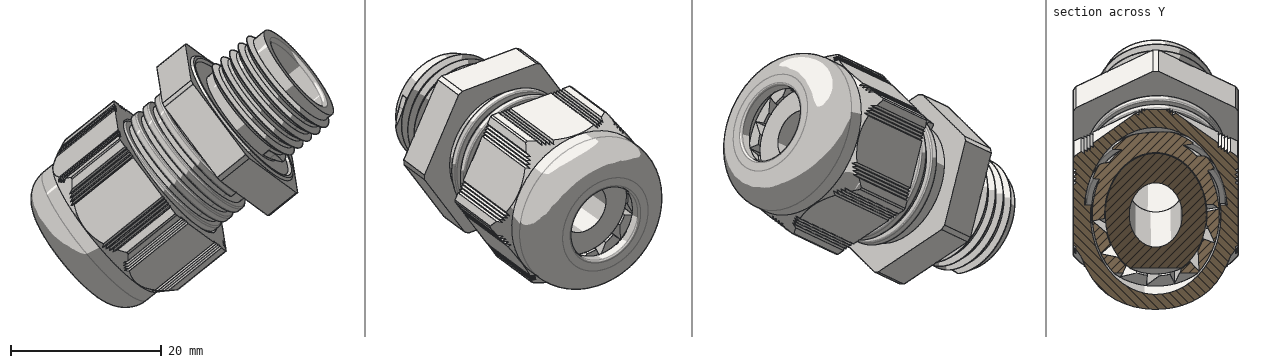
import cadquery as cq
import math


tilt = 34.72

across_flats = 22.0
flange_corner_radius = 12.48
nut_corner_radius = 12.6

inlet_diameter = 14.3
inlet_bore = 10.8
inlet_bore_fillet = 0.5
flange_start = 10.0
flange_thickness = 5.0
body_diameter = 16.95
body_end = 34.95
seal_seat = 24.8
seal_pocket_diameter = 13.6

bead_height = 0.35
bead_base_outer = 21.0
bead_top_outer = 20.4
bead_top_inner = 19.7
bead_base_inner = 19.0

inlet_thread_diameter = 15.9
inlet_thread_start = 1.05
inlet_thread_turns = 5.5
inlet_thread_length = 8.25
inlet_thread_pitch = inlet_thread_length / inlet_thread_turns
inlet_thread_start_angle = 180
inlet_thread_flank_angle = 30
inlet_thread_crest = 0.1
lead_in_height = 0.1
lead_in_flat_angle = 13
lead_in_angle = 33

nut_thread_diameter = 18.68
nut_thread_pitch = 2.05
nut_thread_start = 16.05
nut_thread_turns = 6
nut_thread_flank_angle = 5
nut_thread_crest = 1.07
nut_thread_rounding = 0.2

thread_embed = 0.12

finger_count = 14
finger_slot_width = 1.53
finger_slot_start = 29.75
finger_slot_angle = -93

nut_start = 22.5
nut_end = 39.7
dome_diameter = 21.9
dome_fillet = 4.15
dome_cylinder_start = 33.68
hex_bevel_start = 31.0
nut_bore = 19.1
nut_bore_end = 29.75
nut_front_bore = 17.3
nut_opening = 10.7
nut_opening_fillet = 0.3
nut_lip_thickness = 1.55

grip_flat_width = 6.55
groove_count = 4
groove_pitch = 0.45
groove_depth = groove_pitch / 2 * math.sqrt(3)

seal_diameter = 13.5
seal_bore = 7.0
seal_end = 34.6

side_count = 6


def cylinder(diameter, start, end):
    return cq.Workplane("XY").workplane(offset=start).circle(diameter / 2).extrude(end - start)


def hexagonal_prism(corner_radius, start, end):
    """Hexagon with flats at +X and -X whose corners are cut flat at corner_radius."""
    full_diameter = across_flats / math.cos(math.pi / side_count)
    flats = cq.Workplane("XY").workplane(offset=start)
    flats = flats.polygon(side_count, full_diameter).extrude(end - start).rotate((0, 0, 0), (0, 0, 1), 30)
    corner_diameter = 2 * corner_radius / math.cos(math.pi / side_count)
    corners = cq.Workplane("XY").workplane(offset=start)
    corners = corners.polygon(side_count, corner_diameter).extrude(end - start)
    return flats.intersect(corners)


def ridge_profile(core_diameter, outer_diameter, crest, flank_angle):
    """Half-section of a thread ridge: seat radius, half width at the seat, crest radius, half crest."""
    outer_radius = outer_diameter / 2
    seat_radius = core_diameter / 2 - thread_embed
    flank_spread = (outer_radius - seat_radius) * math.tan(math.radians(flank_angle))
    return seat_radius, crest / 2 + flank_spread, outer_radius, crest / 2


def sharp_section(core_diameter, outer_diameter, crest, flank_angle):
    seat_radius, seat_half, outer_radius, crest_half = ridge_profile(
        core_diameter, outer_diameter, crest, flank_angle)
    return (
        cq.Sketch()
        .polygon([(seat_radius, -seat_half), (outer_radius, -crest_half), (outer_radius, crest_half),
                  (seat_radius, seat_half), (seat_radius, -seat_half)])
    )


def rounded_section(core_diameter, outer_diameter, crest, flank_angle, rounding):
    section = sharp_section(core_diameter, outer_diameter, crest, flank_angle)
    return section.vertices(">X").fillet(rounding)


def thread_ridge(section, radius, pitch, turns, start, start_angle):
    """Right-handed ridge that winds around the axis, seated slightly in its core."""
    path = cq.Workplane(cq.Wire.makeHelix(pitch, pitch * turns, radius))
    ridge = cq.Workplane("XZ").placeSketch(section).sweep(path, isFrenet=True)
    return ridge.rotate((0, 0, 0), (0, 0, 1), start_angle).translate((0, 0, start))


def polar_point(radius, degrees):
    angle = math.radians(degrees)
    return radius * math.cos(angle), radius * math.sin(angle)


def lead_in_cutter(direction):
    """Block that planes the ridge down to its core at the end lying on +X; the ridge runs to +Y or -Y."""
    outer_radius = inlet_thread_diameter / 2
    low_radius = inlet_diameter / 2 + lead_in_height
    clear_radius = 1.3 * outer_radius
    return (
        cq.Workplane("XY")
        .polyline([polar_point(low_radius, -direction),
                   polar_point(low_radius, direction * lead_in_flat_angle),
                   polar_point(outer_radius, direction * lead_in_angle),
                   polar_point(clear_radius, direction * lead_in_angle),
                   polar_point(clear_radius, -direction)])
        .close()
        .extrude(inlet_thread_pitch / 2, both=True)
    )


def inlet_thread():
    section = sharp_section(inlet_diameter, inlet_thread_diameter, inlet_thread_crest,
                            inlet_thread_flank_angle)
    ridge = thread_ridge(section, inlet_diameter / 2, inlet_thread_pitch, inlet_thread_turns,
                         inlet_thread_start, inlet_thread_start_angle)
    end_angle = inlet_thread_start_angle + 360 * inlet_thread_turns
    end = inlet_thread_start + inlet_thread_length
    for direction, angle, station in ((1, inlet_thread_start_angle, inlet_thread_start), (-1, end_angle, end)):
        cutter = lead_in_cutter(direction).rotate((0, 0, 0), (0, 0, 1), angle).translate((0, 0, station))
        ridge = ridge.cut(cutter)
    return ridge


def nut_thread():
    section = rounded_section(body_diameter, nut_thread_diameter, nut_thread_crest,
                              nut_thread_flank_angle, nut_thread_rounding)
    return thread_ridge(section, body_diameter / 2, nut_thread_pitch, nut_thread_turns, nut_thread_start, 0)


def flange_bead():
    top = flange_start - bead_height
    return (
        cq.Workplane("XZ")
        .polyline([(bead_base_inner / 2, flange_start), (bead_top_inner / 2, top),
                   (bead_top_outer / 2, top), (bead_base_outer / 2, flange_start)])
        .close()
        .revolve(360, (0, 0, 0), (0, 1, 0))
    )


def finger_slots():
    """Saw-tooth slots between the fingers: one wall runs outward, the other slants at 45 degrees to meet it."""
    pocket_radius = seal_pocket_diameter / 2
    half_width = finger_slot_width / 2
    inside_depth = pocket_radius - inlet_bore / 2
    slot = (
        cq.Workplane("XY")
        .workplane(offset=finger_slot_start)
        .polyline([(pocket_radius - inside_depth, -half_width),
                   (pocket_radius + finger_slot_width, -half_width),
                   (pocket_radius - inside_depth, half_width + inside_depth)])
        .close()
        .extrude(body_end - finger_slot_start)
    )
    step = 360 / finger_count
    return [slot.rotate((0, 0, 0), (0, 0, 1), finger_slot_angle + index * step) for index in range(finger_count)]


def make_body():
    flange_end = flange_start + flange_thickness
    body = cylinder(inlet_diameter, 0, flange_start)
    body = body.union(hexagonal_prism(flange_corner_radius, flange_start, flange_end))
    body = body.union(cylinder(body_diameter, flange_end, body_end))
    body = body.union(flange_bead())
    body = body.cut(cylinder(inlet_bore, 0, body_end))
    body = body.cut(cylinder(seal_pocket_diameter, seal_seat, body_end))
    body = body.faces("<Z").edges("%CIRCLE").edges(cq.selectors.RadiusNthSelector(0)).fillet(inlet_bore_fillet)
    for slot in finger_slots():
        body = body.cut(slot)
    return body.union(inlet_thread()).union(nut_thread())


def grip_grooves():
    """V grooves along the nut on both sides of the plain middle strip of every flat."""
    apothem = across_flats / 2
    half = groove_pitch / 2
    grooves = []
    for side in range(side_count):
        for direction in (-1, 1):
            for index in range(groove_count):
                offset = direction * (grip_flat_width / 2 + (index + 0.5) * groove_pitch)
                groove = (
                    cq.Workplane("XY")
                    .workplane(offset=nut_start)
                    .polyline([(apothem, offset - half), (apothem - groove_depth, offset),
                               (apothem, offset + half)])
                    .close()
                    .extrude(dome_cylinder_start - nut_start)
                )
                grooves.append(groove.rotate((0, 0, 0), (0, 0, 1), side * 360 / side_count))
    return grooves


def hex_bevel():
    """Solid of revolution that bevels the front corners of the nut hexagon."""
    dome_radius = dome_diameter / 2
    return (
        cq.Workplane("XZ")
        .polyline([(0, nut_start), (nut_corner_radius * 1.1, nut_start), (nut_corner_radius * 1.1, hex_bevel_start),
                   (nut_corner_radius, hex_bevel_start), (dome_radius, dome_cylinder_start),
                   (0, dome_cylinder_start)])
        .close()
        .revolve(360, (0, 0, 0), (0, 1, 0))
    )


def make_nut():
    grip = hexagonal_prism(nut_corner_radius, nut_start, dome_cylinder_start)
    for groove in grip_grooves():
        grip = grip.cut(groove)
    grip = grip.intersect(hex_bevel())
    dome = cylinder(dome_diameter, dome_cylinder_start, nut_end).faces(">Z").edges().fillet(dome_fillet)
    opening = cylinder(nut_opening, nut_start, nut_end)
    nut = grip.union(dome).cut(opening)
    nut = nut.faces(">Z").edges(cq.selectors.RadiusNthSelector(0)).fillet(nut_opening_fillet)
    nut = nut.cut(cylinder(nut_bore, nut_start, nut_bore_end))
    return nut.cut(cylinder(nut_front_bore, nut_bore_end, nut_end - nut_lip_thickness))


def make_seal():
    return cylinder(seal_diameter, seal_seat, seal_end).cut(cylinder(seal_bore, seal_seat, seal_end))


def placed(part):
    """Turn a part built along Z onto the tilted axis, which runs toward -Y and -Z."""
    angle = math.radians(tilt)
    axis = cq.Plane(origin=(0, 0, 0), xDir=(1, 0, 0), normal=(0, -math.cos(angle), -math.sin(angle)))
    return part.solids().val().moved(cq.Location(axis))


body = placed(make_body())
nut = placed(make_nut())
seal = placed(make_seal())

result = cq.Compound.makeCompound([body, nut, seal])